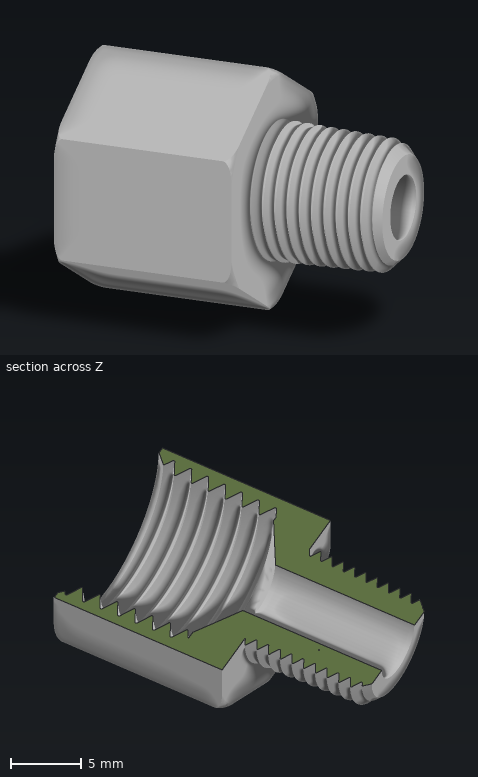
import cadquery as cq
import math

total_length = 23.73
hex_length = 13.76
across_flats = 15.88
across_corners = across_flats / math.cos(math.radians(30))
hex_corner_round = 0.74
hex_envelope_margin = 0.012

inch = 25.4
diameter_taper = 1 / 16
radius_taper = diameter_taper / 2
taper_angle = math.degrees(math.atan(radius_taper))
depth_per_pitch = 0.8
crest_flat_per_pitch = 0.08
root_flat_per_pitch = 0.08

male_threads_per_inch = 27
male_pitch = inch / male_threads_per_inch
male_crest_radius = 5.13
male_tip_radius = 3.85
male_start_angle = 8.0

female_threads_per_inch = 18
female_pitch = inch / female_threads_per_inch
female_root_radius = 7.3
mouth_radius = 7.4
mouth_chamfer = 1.3
bore_depth = 10.2
bore_end_radius = 5.9
drill_point_depth = 2.14
passage_radius = 4.77 / 2
female_start_angle = 175.0


def revolve_about_x(points):
    """Revolve a closed outline of (x, radius) points about the X axis."""
    return cq.Workplane("XY").polyline(points).close().revolve(360, (0, 0, 0), (1, 0, 0))


def helix_turn(pitch, radius, height):
    """One right-hand turn about Z from the given height, widening with the pipe taper."""
    slant_pitch = pitch / math.cos(math.radians(taper_angle))
    return cq.Wire.makeHelix(
        slant_pitch, slant_pitch, radius, cq.Vector(0, 0, height), angle=taper_angle
    ).Edges()[0]


def threaded_plug(pitch, large_radius, x_start, x_end, start_angle):
    """Right-hand tapered screw, large_radius across its crests at x_start, narrowing toward x_end.

    It is skinned from helical strips along Z, with x_end at Z = 0, and runs past both ends.
    """
    length = x_end - x_start
    crest_radius_at_zero = large_radius - radius_taper * length
    root_radius_at_zero = crest_radius_at_zero - depth_per_pitch * pitch
    runout_turns = 2
    turns = math.ceil(length / pitch) + 2 * runout_turns
    flank_width = (1 - crest_flat_per_pitch - root_flat_per_pitch) / 2

    corners = [
        (0, root_radius_at_zero),
        (root_flat_per_pitch, root_radius_at_zero),
        (root_flat_per_pitch + flank_width, crest_radius_at_zero),
        (1 - flank_width, crest_radius_at_zero),
    ]

    edges = []
    for turn in range(turns + 1):
        for offset, radius in corners if turn < turns else corners[:1]:
            height = (turn - runout_turns + offset) * pitch
            edges.append(helix_turn(pitch, radius + radius_taper * height, height))
    faces = [cq.Face.makeRuledSurface(lower, upper) for lower, upper in zip(edges, edges[1:])]

    first_step = [edge.startPoint() for edge in edges[:len(corners) + 1]]
    last_step = [edge.endPoint() for edge in edges[-len(corners) - 1:]]
    for end_edge, step in ((edges[0], first_step), (edges[-1], last_step)):
        axis_low = cq.Vector(0, 0, step[0].z)
        axis_high = cq.Vector(0, 0, step[-1].z)
        faces.append(cq.Face.makeRuledSurface(cq.Edge.makeLine(axis_low, axis_high), end_edge))
        outline = [axis_low] + step + [axis_high]
        faces.append(cq.Face.makeFromWires(cq.Wire.makePolygon(outline, close=True)))

    screw = cq.Workplane(obj=cq.Solid.makeSolid(cq.Shell.makeShell(faces)))
    screw = screw.rotate((0, 0, 0), (0, 0, 1), start_angle)
    return screw.rotate((0, 0, 0), (0, 1, 0), -90).translate((x_end, 0, 0))


def hex_body():
    """Hexagon with corners up and down, its corners rounded off at both ends."""
    prism = cq.Workplane("YZ").polygon(6, across_corners).extrude(hex_length)
    prism = prism.rotate((0, 0, 0), (1, 0, 0), 90)
    envelope = (
        cq.Workplane("YZ").circle(across_corners / 2 + hex_envelope_margin).extrude(hex_length)
        .edges().fillet(hex_corner_round)
    )
    return prism.intersect(envelope)


def male_end():
    """Tapered threaded spigot with a chamfered tip."""
    embed = 0.24
    spigot = threaded_plug(male_pitch, male_crest_radius, hex_length - embed, total_length, male_start_angle)
    chamfer_length = male_crest_radius - male_tip_radius
    limit = revolve_about_x([
        (hex_length - embed, 0),
        (hex_length - embed, male_crest_radius + embed),
        (total_length - chamfer_length - embed, male_crest_radius + embed),
        (total_length, male_tip_radius),
        (total_length, 0),
    ])
    return spigot.intersect(limit)


def mouth_and_passage():
    """Mouth chamfer, drill-point cone and through passage, as one revolved cutter."""
    return revolve_about_x([
        (0, 0),
        (0, mouth_radius),
        (mouth_chamfer, mouth_radius - mouth_chamfer),
        (mouth_chamfer, passage_radius),
        (bore_depth, passage_radius),
        (bore_depth, bore_end_radius),
        (bore_depth + drill_point_depth, passage_radius),
        (total_length, passage_radius),
        (total_length, 0),
    ])


def threaded_bore():
    """Tapered female thread, cut square at the bottom of the bore."""
    plug = threaded_plug(female_pitch, female_root_radius, 0, bore_depth, female_start_angle)
    limit = cq.Workplane("YZ").circle(mouth_radius + mouth_chamfer).extrude(bore_depth)
    return plug.intersect(limit)


result = hex_body().union(male_end()).cut(threaded_bore()).cut(mouth_and_passage())